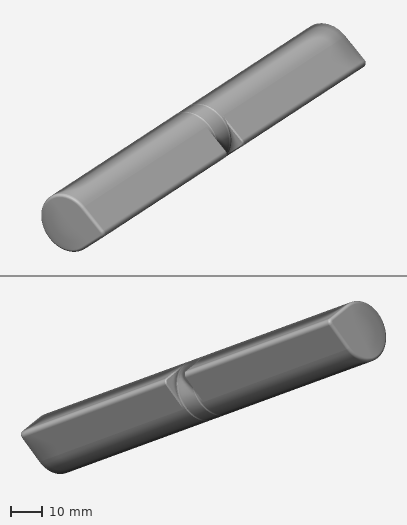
import cadquery as cq
import math

barrel_radius = 10.0
tip_reach = 14.5
tip_radius = 1.5
flank_start_angle = 49.0
total_length = 149.0
ring_length = 7.0
wing_setback = 0.9
end_fillet = 1.0
joint_chamfer = 0.4

knuckle_length = (total_length - ring_length) / 2
wing_length = knuckle_length - wing_setback

tip_center_x = tip_reach - tip_radius
flank_start = (
    barrel_radius * math.cos(math.radians(flank_start_angle)),
    barrel_radius * math.sin(math.radians(flank_start_angle)),
)
run_to_tip_center = tip_center_x - flank_start[0]
distance_to_tip_center = math.hypot(run_to_tip_center, flank_start[1])
flank_slope = math.atan2(flank_start[1], run_to_tip_center) - math.asin(tip_radius / distance_to_tip_center)
flank_end = (
    tip_center_x + tip_radius * math.sin(flank_slope),
    tip_radius * math.cos(flank_slope),
)


def plane_across(y):
    """Plane across the hinge at y: local x is +X, local y is +Z, extrusions run toward -Y."""
    return cq.Workplane("XZ", origin=(0, y, 0))


def near_knuckle():
    """Knuckle on the -Y side: a round barrel with a wing, rounded together at the outer end."""
    inner_y = -ring_length / 2
    barrel = (
        plane_across(inner_y)
        .circle(barrel_radius)
        .extrude(knuckle_length)
        .faces(">Y")
        .edges()
        .chamfer(joint_chamfer)
    )
    wing = (
        plane_across(inner_y - wing_setback)
        .moveTo(*flank_start)
        .lineTo(*flank_end)
        .threePointArc((tip_reach, 0), (flank_end[0], -flank_end[1]))
        .lineTo(flank_start[0], -flank_start[1])
        .close()
        .extrude(wing_length)
        .faces(">Y")
        .edges()
        .chamfer(joint_chamfer)
    )
    return barrel.union(wing).faces("<Y").edges().fillet(end_fillet)


def spacer_ring():
    """Round spacer between the two knuckles, chamfered on both rims."""
    return (
        plane_across(ring_length / 2)
        .circle(barrel_radius)
        .extrude(ring_length)
        .faces("<Y or >Y")
        .edges()
        .chamfer(joint_chamfer)
    )


knuckle = near_knuckle()
opposite_knuckle = knuckle.mirror("XZ")
ring = spacer_ring()

result = cq.Compound.makeCompound([knuckle.val(), opposite_knuckle.val(), ring.val()])